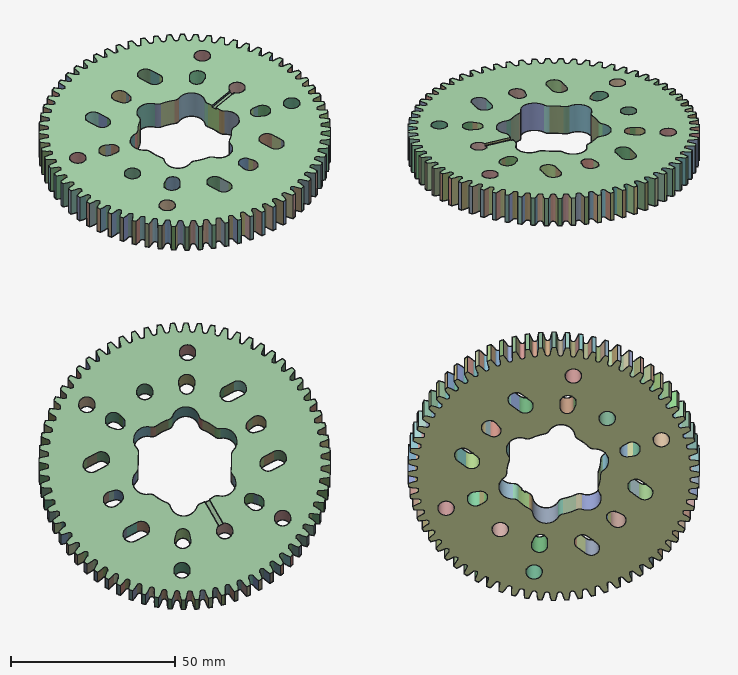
import cadquery as cq
import math

overall_width = 88.85
thickness = 9.5

tooth_count = 68
addendum_in_modules = 1.0
pressure_angle = math.radians(14.5)
flank_start_radius = 42.2
flank_point_count = 6
cutter_overshoot = 0.9

lobe_count = 6
bore_radius = 14.3
lobe_center_radius = 13.3
lobe_radius = 4.2
lobe_corner_fillet = 2.1

hole_diameter = 5.0
inner_bolt_circle = 25.4
outer_bolt_circle = 34.9
outer_hole_angles = (60, 120, 240, 300)
plain_inner_hole_angles = (90, 270)

slot_angles = (30, 150, 210, 330)
slot_center_spacing = 3.5
tapered_hole_angles = (0, 60, 120, 180, 240, 300)
taper_small_diameter = 4.3
taper_center_spacing = 1.7

groove_width = 1.5
groove_depth = 0.7


def polar(radius, angle):
    return (radius * math.cos(angle), radius * math.sin(angle))


def mirrored(point):
    return (point[0], -point[1])


base_ratio = math.cos(pressure_angle)
tip_ratio = 1 + 2 * addendum_in_modules / tooth_count


def involute(angle):
    return math.tan(angle) - angle


def space_half_angle(radius_ratio):
    """Half the angle of a tooth space at a radius given as a ratio of the pitch radius."""
    flank_angle = math.acos(base_ratio / radius_ratio)
    return math.pi / (2 * tooth_count) - involute(pressure_angle) + involute(flank_angle)


tip_radius = overall_width / 2 / math.cos(space_half_angle(tip_ratio))
pitch_radius = tip_radius / tip_ratio


def tooth_space():
    """Cutter for the tooth space centred on +X: involute flanks joined by one tangent root arc."""
    outer_radius = tip_radius + cutter_overshoot
    flank = []
    for step in range(flank_point_count):
        radius = flank_start_radius + (outer_radius - flank_start_radius) * step / (flank_point_count - 1)
        flank.append(polar(radius, space_half_angle(radius / pitch_radius)))

    start_x, start_y = flank[0]
    flank_lean = math.atan2(start_y, start_x) + math.acos(base_ratio * pitch_radius / flank_start_radius)
    root_arc_radius = start_y / math.cos(flank_lean)
    root_bottom = start_x + start_y * math.tan(flank_lean) - root_arc_radius
    return (
        cq.Workplane("XY")
        .moveTo(*flank[0])
        .spline(flank[1:], includeCurrent=True)
        .lineTo(*mirrored(flank[-1]))
        .spline([mirrored(point) for point in reversed(flank[:-1])], includeCurrent=True)
        .threePointArc((root_bottom, 0), flank[0])
        .close()
        .extrude(thickness)
    )


def gear_blank():
    space = tooth_space().val()
    pitch_angle = 360 / tooth_count
    spaces = [space.rotate((0, 0, 0), (0, 0, 1), i * pitch_angle) for i in range(tooth_count)]
    blank = cq.Workplane("XY").circle(tip_radius).extrude(thickness)
    return blank.cut(cq.Workplane("XY").newObject(spaces))


def lobed_bore():
    """Round bore with six round lobes; fillets blend each lobe into the bore circle."""
    fillet_center_radius = bore_radius + lobe_corner_fillet
    fillet_to_lobe = lobe_radius + lobe_corner_fillet
    fillet_angle = math.acos(
        (fillet_center_radius**2 + lobe_center_radius**2 - fillet_to_lobe**2)
        / (2 * fillet_center_radius * lobe_center_radius)
    )
    fillet_center = polar(fillet_center_radius, fillet_angle)
    contact_angle = math.atan2(fillet_center[1], fillet_center[0] - lobe_center_radius)

    lobe_tip = (lobe_center_radius + lobe_radius, 0)
    lobe_end_offset = polar(lobe_radius, contact_angle)
    lobe_end = (lobe_center_radius + lobe_end_offset[0], lobe_end_offset[1])
    bore_start = polar(bore_radius, fillet_angle)
    middle_offset = polar(lobe_corner_fillet, (fillet_angle + contact_angle) / 2 + math.pi)
    fillet_middle = (fillet_center[0] + middle_offset[0], fillet_center[1] + middle_offset[1])

    def turned(point, lobe):
        angle = 2 * math.pi * lobe / lobe_count
        return polar(math.hypot(*point), math.atan2(point[1], point[0]) + angle)

    outline = cq.Workplane("XY").moveTo(*mirrored(bore_start))
    for lobe in range(lobe_count):
        bore_middle = polar(bore_radius, 2 * math.pi * (lobe + 0.5) / lobe_count)
        outline = (
            outline
            .threePointArc(turned(mirrored(fillet_middle), lobe), turned(mirrored(lobe_end), lobe))
            .threePointArc(turned(lobe_tip, lobe), turned(lobe_end, lobe))
            .threePointArc(turned(fillet_middle, lobe), turned(bore_start, lobe))
            .threePointArc(bore_middle, turned(mirrored(bore_start), lobe + 1))
        )
    return outline.close().extrude(thickness)


def round_holes(bolt_circle, angles):
    centers = [polar(bolt_circle, math.radians(angle)) for angle in angles]
    return cq.Workplane("XY").pushPoints(centers).circle(hole_diameter / 2).extrude(thickness)


def slots():
    """Slots along X whose inner ends are centred on the inner bolt circle."""
    centers = []
    for angle in slot_angles:
        x, y = polar(inner_bolt_circle, math.radians(angle))
        centers.append((x + math.copysign(slot_center_spacing / 2, x), y))
    slot_length = slot_center_spacing + hole_diameter
    return cq.Workplane("XY").pushPoints(centers).slot2D(slot_length, hole_diameter).extrude(thickness)


def tapered_hole():
    """Hole on +X: a large outer arc joined by tangent lines to a small inner arc."""
    large_radius = hole_diameter / 2
    small_radius = taper_small_diameter / 2
    small_center_x = inner_bolt_circle - taper_center_spacing
    tangent_angle = math.acos((small_radius - large_radius) / taper_center_spacing)
    large_x, large_y = polar(large_radius, tangent_angle)
    small_x, small_y = polar(small_radius, tangent_angle)
    large_end = (inner_bolt_circle + large_x, large_y)
    small_end = (small_center_x + small_x, small_y)
    return (
        cq.Workplane("XY")
        .moveTo(*mirrored(large_end))
        .threePointArc((inner_bolt_circle + large_radius, 0), large_end)
        .lineTo(*small_end)
        .threePointArc((small_center_x - small_radius, 0), mirrored(small_end))
        .close()
        .extrude(thickness)
    )


def alignment_groove():
    return (
        cq.Workplane("XY", origin=(0, 0, thickness - groove_depth))
        .center(0, inner_bolt_circle / 2)
        .rect(groove_width, inner_bolt_circle)
        .extrude(groove_depth)
    )


result = gear_blank()
result = result.cut(lobed_bore())
result = result.cut(round_holes(inner_bolt_circle, plain_inner_hole_angles))
result = result.cut(round_holes(outer_bolt_circle, outer_hole_angles))
result = result.cut(slots())
for hole_angle in tapered_hole_angles:
    result = result.cut(tapered_hole().rotate((0, 0, 0), (0, 0, 1), hole_angle))
result = result.cut(alignment_groove())